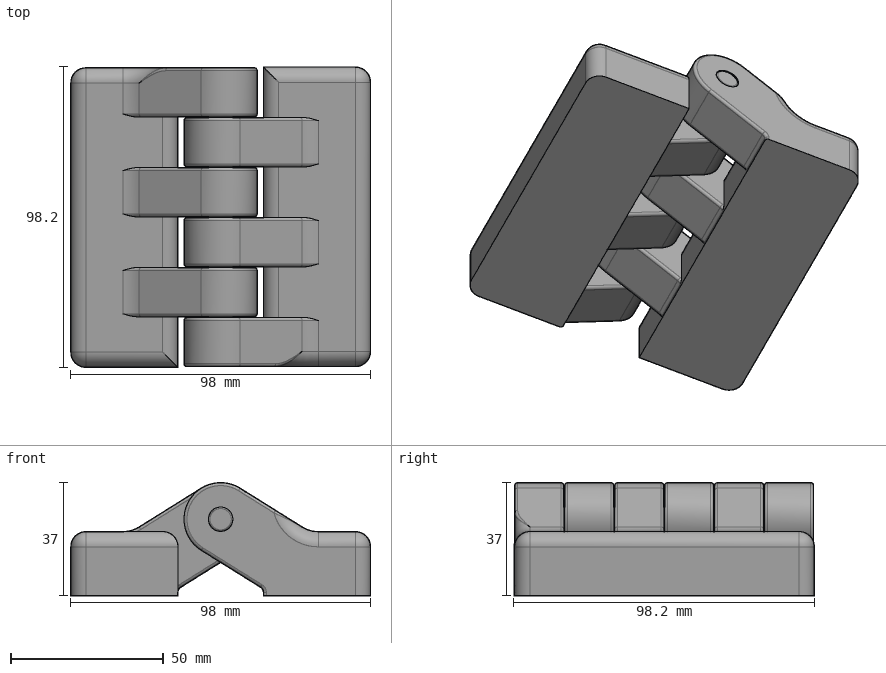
import cadquery as cq
import math

half_width = 49.0
half_length = 49.1
clearance = 0.24
knuckles_per_leaf = 3

plate_height = 21.0
plate_inner_x = 13.9
plate_round = 5.0

axis_height = 25.0
barrel_radius = 12.0
arm_slope = math.radians(32)
arm_top_round = 10.0
arm_bottom_round = 2
knuckle_edge_round = 1

pin_diameter = 8.0
pin_edge_round = 0.5

near_end_y = -(half_length - clearance)
leaf_length = half_length - near_end_y
knuckle_pitch = leaf_length / knuckles_per_leaf
knuckle_width = knuckle_pitch / 2 - clearance

slope_sin = math.sin(arm_slope)
slope_cos = math.cos(arm_slope)
slope_tan = math.tan(arm_slope)

top_start = (barrel_radius * slope_sin, axis_height + barrel_radius * slope_cos)
hollow_z = plate_height + arm_top_round
hollow_start_z = hollow_z - arm_top_round * slope_cos
hollow_start_x = top_start[0] + (top_start[1] - hollow_start_z) / slope_tan
hollow_x = hollow_start_x + arm_top_round * slope_sin

bottom_start = (-top_start[0], axis_height - barrel_radius * slope_cos)
underside_corner_z = bottom_start[1] - (plate_inner_x - bottom_start[0]) * slope_tan
bottom_turn = math.pi / 2 - arm_slope
bottom_setback = arm_bottom_round * math.tan(bottom_turn / 2)


def point_on_circle(center_u, center_v, radius, angle):
    return (center_u + radius * math.cos(angle), center_v + radius * math.sin(angle))


def make_plate():
    """Plate on the +X side with rounded top edges and outer corners."""
    plate = (
        cq.Workplane("XY", origin=(plate_inner_x, near_end_y, 0))
        .box(half_width - plate_inner_x, leaf_length, plate_height, centered=False)
    )
    return plate.edges("(>X and |Z) or >Z").fillet(plate_round)


def make_sharp_knuckle(start_y):
    """Barrel and arm of one knuckle, reaching into the plate below the hollow round."""
    barrel_tip = (-barrel_radius, axis_height)
    hollow_mid = point_on_circle(
        hollow_x, hollow_z, arm_top_round, -math.pi / 2 - arm_slope / 2
    )
    underside_end = (
        plate_inner_x - bottom_setback * slope_cos,
        underside_corner_z + bottom_setback * slope_sin,
    )
    bottom_end = (plate_inner_x, underside_corner_z - bottom_setback)
    bottom_mid = point_on_circle(
        plate_inner_x - arm_bottom_round, bottom_end[1], arm_bottom_round, bottom_turn / 2
    )
    return (
        cq.Workplane("XZ", origin=(0, start_y, 0))
        .moveTo(*bottom_start)
        .threePointArc(barrel_tip, top_start)
        .lineTo(hollow_start_x, hollow_start_z)
        .threePointArc(hollow_mid, (hollow_x, plate_height))
        .lineTo(hollow_x, 0)
        .lineTo(plate_inner_x, 0)
        .lineTo(*bottom_end)
        .threePointArc(bottom_mid, underside_end)
        .close()
        .extrude(-knuckle_width)
    )


def make_end_round_cutter():
    """Ring that carries the plate's end round up along the hollow of the end arm."""
    outer_radius = arm_top_round + plate_round
    arc_mid = point_on_circle(outer_radius, plate_round, plate_round, -0.75 * math.pi)
    return (
        cq.Workplane("XY", origin=(hollow_x, near_end_y, hollow_z))
        .lineTo(outer_radius, 0)
        .threePointArc(arc_mid, (arm_top_round, plate_round))
        .lineTo(0, plate_round)
        .close()
        .revolve(360, (0, 0, 0), (0, 1, 0))
    )


def make_knuckle(start_y):
    """Knuckle with rounded rims on both faces."""
    rims = make_sharp_knuckle(start_y).faces("<Y or >Y").edges("not(<Z or >X)")
    return rims.fillet(knuckle_edge_round)


def make_end_knuckle():
    """Knuckle at the near end, with the plate's end round carried up its arm."""
    knuckle = make_sharp_knuckle(near_end_y).cut(make_end_round_cutter())
    knuckle = knuckle.faces(">Y").edges("not(<Z or >X)").fillet(knuckle_edge_round)
    return knuckle.edges("%BSPLINE").fillet(knuckle_edge_round)


def make_leaf():
    """Plate on the +X side with its knuckles, the first one flush with the near end."""
    end_notch = (
        cq.Workplane("XY", origin=(plate_inner_x, near_end_y, 0))
        .box(hollow_x - plate_inner_x, knuckle_width / 2, plate_height, centered=False)
    )
    leaf = make_plate().cut(end_notch).union(make_end_knuckle())
    for index in range(1, knuckles_per_leaf):
        leaf = leaf.union(make_knuckle(near_end_y + index * knuckle_pitch))
    return leaf


def make_pin():
    """Pin along the hinge axis, flush with the outermost knuckle faces."""
    pin_bore = (
        cq.Workplane("XZ", origin=(0, near_end_y, axis_height))
        .circle(pin_diameter / 2)
        .extrude(2 * near_end_y)
    )
    return pin_bore, pin_bore.edges().fillet(pin_edge_round)


leaf = make_leaf()
opposite_leaf = leaf.rotate((0, 0, 0), (0, 0, 1), 180)
pin_bore, pin = make_pin()
result = leaf.union(opposite_leaf).cut(pin_bore).union(pin)